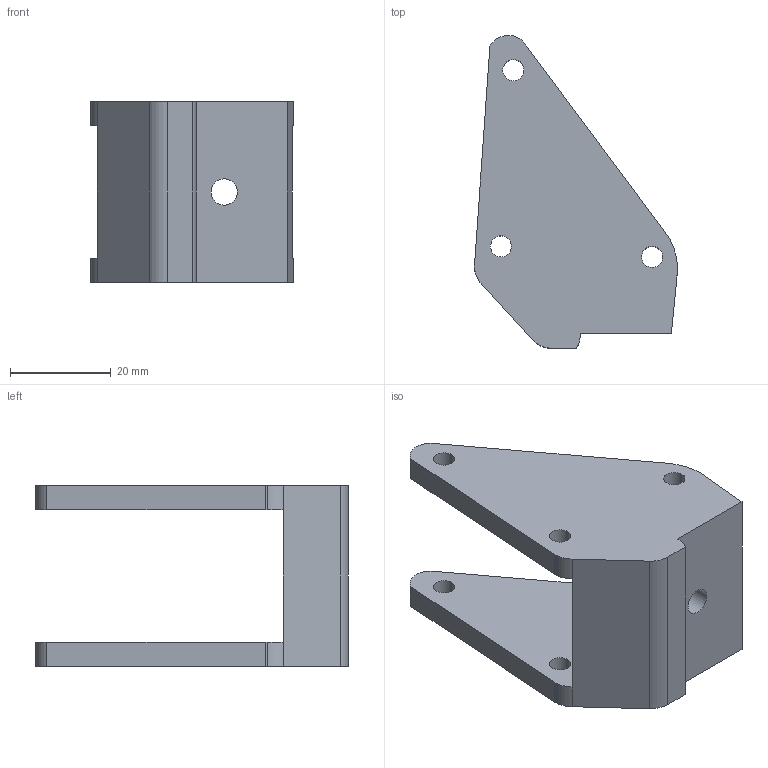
import cadquery as cq
import math


height = 35.8
plate_thickness = 4.8
gap_height = height - 2 * plate_thickness

block_back_y = 9.9
cross_hole_diameter = 5.2

front_right_x = 12.5
lip_y = -2.98
lip_right_x = -5.55
lip_foot_x = -6.34
lip_round_radius = 5.0

lip_corner_x = -11.3
lip_corner_radius = 4.85
left_face_angle = 47.6

left_corner_radius = 4.8
left_edge_foot = (-26.5, 13.43)
left_corner_start_y = 13.04
left_edge_top = (-23.45, 56.8)
right_edge_top = (13.57, 10.9)
right_corner_end = (11.15, 20.15)
right_corner_radius = 12.0

tip_right = (-16.15, 56.85)
tip_top = (-19.8, 58.98)

mount_hole_diameter = 4.2
pattern_corner = (-21.25, 17.2)
pattern_length = 35.0
pattern_width = 30.0
pattern_turn = math.radians(4.0)

CUT_MARGIN = 1.0


def plate_outline():
    """Closed outline shared by the plates and the block, starting at the front right corner."""
    turn = math.radians(left_face_angle)
    lip_corner_start = (
        lip_corner_x - lip_corner_radius * math.sin(turn),
        lip_y + lip_corner_radius * (1 - math.cos(turn)),
    )
    slant_rise = block_back_y - lip_corner_start[1]
    slant_end = (lip_corner_start[0] - slant_rise / math.tan(turn), block_back_y)
    return (
        cq.Workplane("XY")
        .workplane(offset=-height / 2)
        .moveTo(front_right_x, 0)
        .lineTo(*right_edge_top)
        .radiusArc(right_corner_end, -right_corner_radius)
        .lineTo(*tip_right)
        .threePointArc(tip_top, left_edge_top)
        .lineTo(*left_edge_foot)
        .lineTo(left_edge_foot[0], left_corner_start_y)
        .radiusArc(slant_end, -left_corner_radius)
        .lineTo(*lip_corner_start)
        .radiusArc((lip_corner_x, lip_y), -lip_corner_radius)
        .lineTo(lip_foot_x, lip_y)
        .radiusArc((lip_right_x, 0), -lip_round_radius)
        .close()
    )


def gap_between_plates():
    """Box that clears everything behind the block between the two plates."""
    depth = tip_top[1] - block_back_y + CUT_MARGIN
    width = 2 * (abs(left_edge_foot[0]) + CUT_MARGIN)
    return cq.Workplane("XY").box(width, depth, gap_height).translate((0, block_back_y + depth / 2, 0))


def mount_holes():
    """Vertical cutters for the three mounting holes."""
    corner_x, corner_y = pattern_corner
    centres = [
        pattern_corner,
        (
            corner_x + pattern_length * math.sin(pattern_turn),
            corner_y + pattern_length * math.cos(pattern_turn),
        ),
        (
            corner_x + pattern_width * math.cos(pattern_turn),
            corner_y - pattern_width * math.sin(pattern_turn),
        ),
    ]
    return (
        cq.Workplane("XY")
        .workplane(offset=-height / 2 - CUT_MARGIN)
        .pushPoints(centres)
        .circle(mount_hole_diameter / 2)
        .extrude(height + 2 * CUT_MARGIN)
    )


def cross_hole():
    """Cutter along Y through the block."""
    length = block_back_y + 2 * CUT_MARGIN
    return (
        cq.Workplane("XZ", origin=(0, -CUT_MARGIN, 0))
        .circle(cross_hole_diameter / 2)
        .extrude(-length)
    )


result = plate_outline().extrude(height)
result = result.cut(gap_between_plates())
result = result.cut(mount_holes())
result = result.cut(cross_hole())